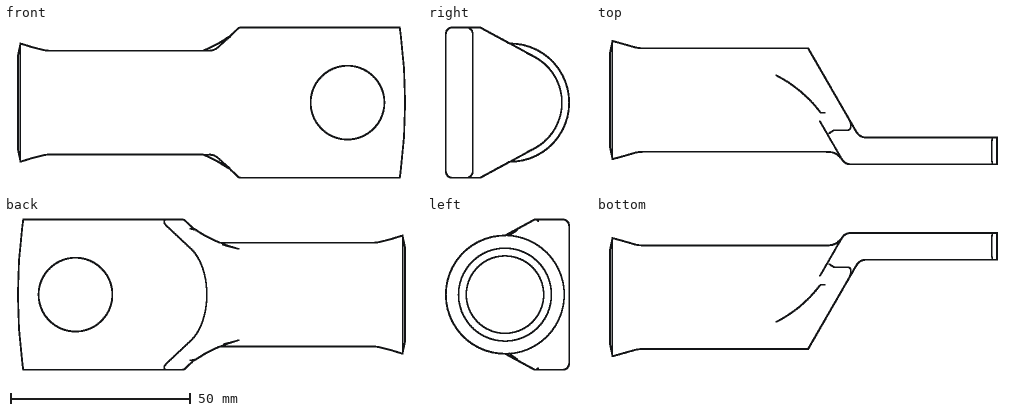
import cadquery as cq
import math

barrel_radius = 14.5
bore_radius = 10.8
bore_depth = 49.6
lip_outer_radius = 16.5
lip_inner_radius = 12.9
lip_setback = 0.8
flare_radius_growth = 0.2
flare_blend_start = 7.2
flare_blend_end = 9.5
trim_margin = 1.1

overall_length = 107.8
palm_width = 42.0
palm_outer_y = -17.9
palm_thickness = 7.5
palm_inner_y = palm_outer_y + palm_thickness
crown_height = 1.5
hole_x = 91.8
hole_radius = 10.2

neck_angle = math.radians(60)
neck_tip_x = 55.2
neck_wall = 7.3
shoulder_angle = math.radians(28.5)
inner_bend_radius = 2.9
outer_bend_radius = 2.8
edge_radius = 1.9
barrel_blend_radius = 4.3

web_tip_x = 46.4
web_middle = (53.2, 2.4)
web_root = (58.7, -3.5)
web_inset = 1.1

half_width = palm_width / 2
tangent_y = barrel_radius * math.sin(shoulder_angle)
tangent_z = barrel_radius * math.cos(shoulder_angle)
shoulder_y = tangent_y - (half_width - tangent_z) / math.tan(shoulder_angle)


def neck_inner_x(y):
    """X of the sloping face on the palm's inner side at height y."""
    return neck_tip_x + (barrel_radius - y) / math.tan(neck_angle)


def neck_outer_x(y):
    """X of the sloping face on the barrel's side at height y."""
    return neck_inner_x(y) - neck_wall / math.sin(neck_angle)


def barrel_body():
    """Flared tube blank, cut off along the neck's inner face."""
    blank = (
        cq.Workplane("XY")
        .moveTo(0, 0)
        .lineTo(0, lip_inner_radius)
        .lineTo(lip_setback, lip_outer_radius)
        .lineTo(flare_blend_start, barrel_radius + flare_radius_growth)
        .threePointArc(
            ((flare_blend_start + flare_blend_end) / 2, barrel_radius + flare_radius_growth / 4),
            (flare_blend_end, barrel_radius),
        )
        .lineTo(neck_inner_x(-barrel_radius), barrel_radius)
        .lineTo(neck_inner_x(-barrel_radius), 0)
        .close()
        .revolve(360, (0, 0, 0), (1, 0, 0))
    )
    top = lip_outer_radius + trim_margin
    side_limit = (
        cq.Workplane("XY")
        .polyline([(0, top), (neck_inner_x(top), top), (neck_inner_x(-top), -top), (0, -top)])
        .close()
        .extrude(palm_width, both=True)
    )
    return blank.intersect(side_limit)


def shoulder_envelope():
    """Palm sides and shoulder planes, wrapped tangent around the barrel."""
    return (
        cq.Workplane("YZ")
        .moveTo(palm_outer_y, -half_width)
        .lineTo(shoulder_y, -half_width)
        .lineTo(tangent_y, -tangent_z)
        .threePointArc((barrel_radius, 0), (tangent_y, tangent_z))
        .lineTo(shoulder_y, half_width)
        .lineTo(palm_outer_y, half_width)
        .close()
        .extrude(overall_length)
    )


def neck_and_palm():
    """Bent strap whose shoulders run tangent to the barrel."""
    strap = (
        cq.Workplane("XY")
        .polyline([
            (neck_outer_x(barrel_radius), barrel_radius),
            (neck_inner_x(barrel_radius), barrel_radius),
            (neck_inner_x(palm_inner_y), palm_inner_y),
            (overall_length, palm_inner_y),
            (overall_length, palm_outer_y),
            (neck_outer_x(palm_outer_y), palm_outer_y),
        ])
        .close()
        .extrude(half_width, both=True)
    )
    crown = (
        cq.Workplane("XZ", origin=(0, palm_outer_y, 0))
        .moveTo(0, -half_width)
        .lineTo(overall_length - crown_height, -half_width)
        .threePointArc((overall_length, 0), (overall_length - crown_height, half_width))
        .lineTo(0, half_width)
        .close()
        .extrude(-palm_width)
    )
    body = strap.intersect(shoulder_envelope()).intersect(crown)

    inner_bend = cq.selectors.NearestToPointSelector((neck_inner_x(palm_inner_y), palm_inner_y, 0))
    outer_bend = cq.selectors.NearestToPointSelector((neck_outer_x(palm_outer_y), palm_outer_y, 0))
    body = body.edges(inner_bend).fillet(inner_bend_radius)
    body = body.edges(outer_bend).fillet(outer_bend_radius)

    palm_middle_x = (neck_inner_x(palm_inner_y) + overall_length) / 2
    shoulder_middle_y = (shoulder_y + tangent_y) / 2
    shoulder_middle_z = (half_width + tangent_z) / 2
    side_middle_y = (shoulder_y + palm_outer_y) / 2
    rim_points = []
    for side in (-1, 1):
        rim_points.append((palm_middle_x, palm_outer_y, side * half_width))
        rim_points.append((palm_middle_x, palm_inner_y, side * half_width))
        rim_points.append((neck_outer_x(side_middle_y), side_middle_y, side * half_width))
        rim_points.append((neck_outer_x(shoulder_middle_y), shoulder_middle_y, side * shoulder_middle_z))
    rim = [body.edges(cq.selectors.NearestToPointSelector(p)).val() for p in rim_points]
    return body.newObject(rim).fillet(edge_radius)


def blend_barrel_to_neck(body):
    """Round the inside corner where the neck's sloping face meets the barrel."""
    corner_point = (neck_outer_x(-barrel_radius), -barrel_radius, 0)
    tolerance = 0.5
    corner = [
        edge
        for edge in body.edges("%ELLIPSE").vals()
        if math.dist(edge.positionAt(0.5).toTuple(), corner_point) < tolerance
    ]
    return body.newObject(corner).fillet(barrel_blend_radius)


def bore():
    """Blind bore with a funnel mouth matching the flare."""
    return (
        cq.Workplane("XY")
        .moveTo(0, 0)
        .lineTo(0, lip_inner_radius)
        .lineTo(flare_blend_start, bore_radius + flare_radius_growth)
        .threePointArc(
            ((flare_blend_start + flare_blend_end) / 2, bore_radius + flare_radius_growth / 4),
            (flare_blend_end, bore_radius),
        )
        .lineTo(bore_depth, bore_radius)
        .lineTo(bore_depth, 0)
        .close()
        .revolve(360, (0, 0, 0), (1, 0, 0))
    )


def bolt_hole():
    """Through hole in the palm, along Y."""
    return (
        cq.Workplane("XZ", origin=(hole_x, palm_inner_y, 0))
        .circle(hole_radius)
        .extrude(palm_thickness)
    )


def shoulder_webs():
    """Tapering webs between the barrel and the shoulder planes, on both sides."""
    outline = (
        cq.Workplane("XY")
        .moveTo(web_tip_x, tangent_y)
        .threePointArc(web_middle, web_root)
        .lineTo(neck_inner_x(web_root[1]) - web_inset, web_root[1])
        .lineTo(neck_inner_x(tangent_y) - web_inset, tangent_y)
        .close()
        .extrude(half_width, both=True)
    )
    return outline.intersect(shoulder_envelope())


joined = barrel_body().union(neck_and_palm())
blended = blend_barrel_to_neck(joined).union(shoulder_webs())
result = blended.cut(bore()).cut(bolt_hole())